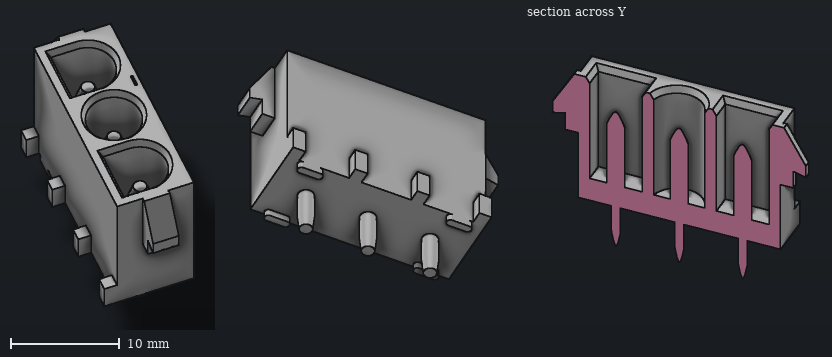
import cadquery as cq


socket_pitch = 6.35
socket_positions = (-socket_pitch, 0.0, socket_pitch)
housing_length = 20.32
housing_depth = 7.62
housing_height = 13.92
front_y = -housing_depth / 2

socket_radius = 2.62
socket_floor = 2.55
lead_in_width = 0.38
lead_in_height = 0.64

contact_radius = 1.12
contact_tip_radius = 0.64
contact_top = 10.8
contact_taper = 1.52
tail_radius = 0.8
tail_tip_radius = 0.64
tail_length = 4.37
tail_taper = 1.55

tab_count = 4
tab_size = 1.27
tab_height = 2.55
tab_pitch = (housing_length - tab_size) / (tab_count - 1)

foot_length = 2.55
foot_width = 0.75
foot_height = 0.75
foot_x = housing_length / 2 - tab_size - foot_length / 2
foot_y = (housing_depth - foot_width) / 2

latch_width = 2.55
latch_top_reach = 0.35
latch_stem_reach = 1.27
latch_barb_reach = 2.55
latch_slope_drop = 3.7
latch_barb_drop = 5.05
latch_notch_drop = 4.72
latch_stem_drop = 6.6

mark_length = 1.07
mark_width = 0.18
mark_height = 0.1
mark_x = -3.05
mark_y = 3.23


def box(length, depth, height, x, y, z):
    """Box centred on (x, y) that stands on height z."""
    return (
        cq.Workplane("XY")
        .box(length, depth, height, centered=(True, True, False))
        .translate((x, y, z))
    )


def socket_outline(half_width, square_front, z):
    """Wire of a socket: a circle, or a half circle with a square front half."""
    plane = cq.Workplane("XY").workplane(offset=z)
    if not square_front:
        return plane.circle(half_width)
    return (
        plane.moveTo(-half_width, -half_width)
        .lineTo(half_width, -half_width)
        .lineTo(half_width, 0)
        .threePointArc((0, half_width), (-half_width, 0))
        .close()
    )


def socket(x, square_front):
    """Straight socket with a flared lead-in at its mouth."""
    mouth_radius = socket_radius + lead_in_width
    flare_bottom = housing_height - lead_in_height
    bore = socket_outline(socket_radius, square_front, socket_floor).extrude(housing_height - socket_floor)
    bottom_wire = socket_outline(socket_radius, square_front, flare_bottom).wires().val()
    mouth_wire = socket_outline(mouth_radius, square_front, housing_height).wires().val()
    flare = cq.Solid.makeLoft([bottom_wire, mouth_wire], True)
    return bore.union(cq.Workplane(flare)).translate((x, 0, 0))


def contact(x):
    """Turned pin: thick tapered contact in the socket, thinner tapered tail below."""
    return (
        cq.Workplane("XZ")
        .moveTo(0, -tail_length)
        .lineTo(tail_tip_radius, -tail_length)
        .lineTo(tail_radius, tail_taper - tail_length)
        .lineTo(tail_radius, socket_floor)
        .lineTo(contact_radius, socket_floor)
        .lineTo(contact_radius, contact_top - contact_taper)
        .lineTo(contact_tip_radius, contact_top)
        .lineTo(0, contact_top)
        .close()
        .revolve(360, (0, 0), (0, 1))
        .translate((x, 0, 0))
    )


def latch():
    """Barbed latch on the +X end."""
    end = housing_length / 2
    top = housing_height
    return (
        cq.Workplane("XZ")
        .moveTo(end, top)
        .lineTo(end + latch_top_reach, top)
        .lineTo(end + latch_barb_reach, top - latch_slope_drop)
        .lineTo(end + latch_barb_reach, top - latch_barb_drop)
        .lineTo(end + latch_stem_reach, top - latch_notch_drop)
        .lineTo(end + latch_stem_reach, top - latch_stem_drop)
        .lineTo(end, top - latch_stem_drop)
        .close()
        .extrude(latch_width / 2, both=True)
    )


result = box(housing_length, housing_depth, housing_height, 0, 0, 0)

for index in range(tab_count):
    tab_x = (tab_size - housing_length) / 2 + index * tab_pitch
    result = result.union(box(tab_size, tab_size, tab_height, tab_x, front_y - tab_size / 2, 0))

end_latch = latch()
result = result.union(end_latch).union(end_latch.mirror("YZ"))

for x in socket_positions:
    result = result.cut(socket(x, square_front=x != 0))
for x in socket_positions:
    result = result.union(contact(x))

feet = (
    cq.Workplane("XY")
    .rect(2 * foot_x, 2 * foot_y, forConstruction=True)
    .vertices()
    .slot2D(foot_length, foot_width)
    .extrude(-foot_height)
)
result = result.union(feet)

result = result.union(box(mark_length, mark_width, mark_height, mark_x, mark_y, housing_height))